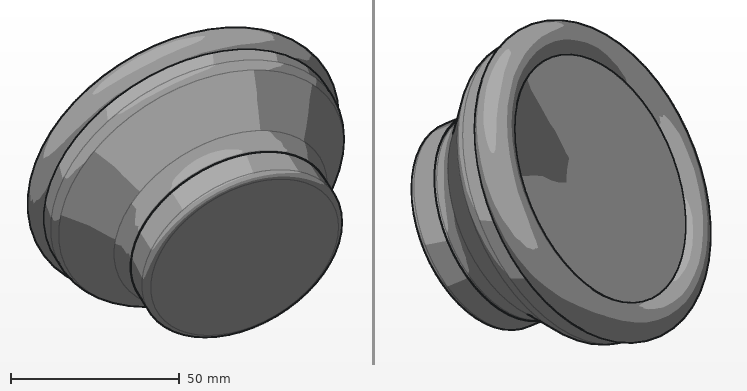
import cadquery as cq
import math

outer_diameter = 99.95
total_length = 50.0

tube_radius = 6.0
ring_radius = outer_diameter / 2 - tube_radius

body_radius = 95.0 / 2
neck_radius = 64.6 / 2
collar_radius = 65.0 / 2
collar_start = 39.9
collar_fillet = 2.0
shoulder_start = 15.6
shoulder_fillet = 5.0
neck_fillet = 10.0
taper_angle = 40.0

dish_rim_x = 2.3
dish_bottom_x = 10.0


def point_on_arc(center, radius, angle):
    """Point (x, r) at an angle in degrees, measured from the radial direction towards +X."""
    turn = math.radians(angle)
    return (center[0] + radius * math.sin(turn), center[1] + radius * math.cos(turn))


def make_ring():
    """Round ring whose front touches the plane X = 0."""
    return (
        cq.Workplane("XY")
        .center(tube_radius, ring_radius)
        .circle(tube_radius)
        .revolve(360, (0, -ring_radius), (1, -ring_radius))
    )


def make_housing(ring):
    """Tapered housing with a dished front, fitted around the back and inside of the ring."""
    slope = math.radians(taper_angle)

    shoulder_center = (shoulder_start, body_radius - shoulder_fillet)
    shoulder_middle = point_on_arc(shoulder_center, shoulder_fillet, taper_angle / 2)
    taper_start = point_on_arc(shoulder_center, shoulder_fillet, taper_angle)
    arc_drop = neck_fillet * (1 - math.cos(slope))
    taper_drop = taper_start[1] - neck_radius - arc_drop
    taper_end_x = taper_start[0] + taper_drop / math.tan(slope)
    taper_end = (taper_end_x, neck_radius + arc_drop)
    neck_center = (taper_end_x + neck_fillet * math.sin(slope), neck_radius + neck_fillet)
    neck_middle = point_on_arc(neck_center, -neck_fillet, taper_angle / 2)

    body = (
        cq.Workplane("XY")
        .moveTo(dish_bottom_x, 0)
        .lineTo(dish_rim_x, ring_radius)
        .lineTo(tube_radius, body_radius)
        .lineTo(shoulder_start, body_radius)
        .threePointArc(shoulder_middle, taper_start)
        .lineTo(*taper_end)
        .threePointArc(neck_middle, (neck_center[0], neck_radius))
        .lineTo(collar_start, neck_radius)
        .lineTo(collar_start, collar_radius)
        .lineTo(total_length, collar_radius)
        .lineTo(total_length, 0)
        .close()
        .revolve(360, (0, 0), (1, 0))
    )
    body = body.faces(">X").edges().fillet(collar_fillet)
    return body.cut(ring)


ring = make_ring()
housing = make_housing(ring)

result = cq.Compound.makeCompound([ring.val(), *housing.solids().vals()])